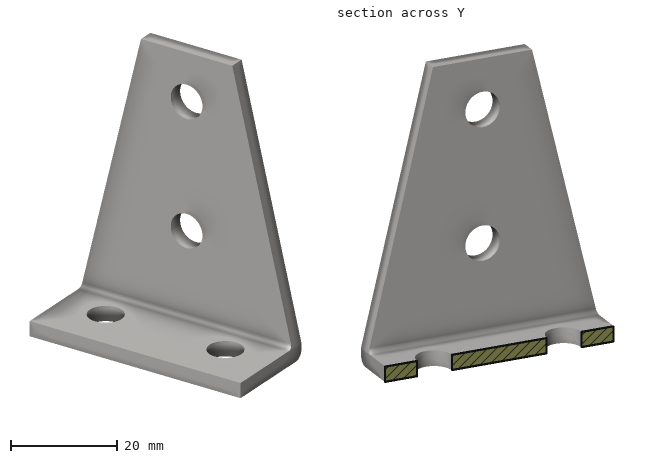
import cadquery as cq

width = 47.65
depth = 20.6
height = 58.75
thickness = 3.2

inner_radius = 1.0
outer_radius = 1.9

top_width = 20.6

hole_diameter = 7.15
hole_spacing = 27.0
hole_edge_distance = 10.35



def angle_bracket():
    """L-shaped section with a rounded bend, extruded across the width."""
    section = (
        cq.Workplane("YZ")
        .polyline([
            (0, 0),
            (0, height),
            (-thickness, height),
            (-thickness, thickness),
            (-depth, thickness),
            (-depth, 0),
        ])
        .close()
        .extrude(width / 2, both=True)
    )
    inner_corner = cq.selectors.NearestToPointSelector((0, -thickness, thickness))
    outer_corner = cq.selectors.NearestToPointSelector((0, 0, 0))
    return (
        section
        .edges("|X").edges(inner_corner).fillet(inner_radius)
        .edges("|X").edges(outer_corner).fillet(outer_radius)
    )


def tapered_outline():
    """Front outline of the bracket, as a block deep enough to trim both legs."""
    return (
        cq.Workplane("XZ")
        .polyline([
            (-width / 2, 0),
            (width / 2, 0),
            (width / 2, thickness),
            (top_width / 2, height),
            (-top_width / 2, height),
            (-width / 2, thickness),
        ])
        .close()
        .extrude(depth)
    )


def upright_holes():
    """Two holes, one above the other, through the upright leg."""
    upper_z = height - hole_edge_distance
    return (
        cq.Workplane("XZ")
        .pushPoints([(0, upper_z), (0, upper_z - hole_spacing)])
        .circle(hole_diameter / 2)
        .extrude(thickness)
    )


def base_holes():
    """Two holes side by side through the base leg."""
    hole_y = hole_edge_distance - depth
    return (
        cq.Workplane("XY")
        .pushPoints([(-hole_spacing / 2, hole_y), (hole_spacing / 2, hole_y)])
        .circle(hole_diameter / 2)
        .extrude(thickness)
    )


result = (
    angle_bracket()
    .intersect(tapered_outline())
    .cut(upright_holes())
    .cut(base_holes())
)